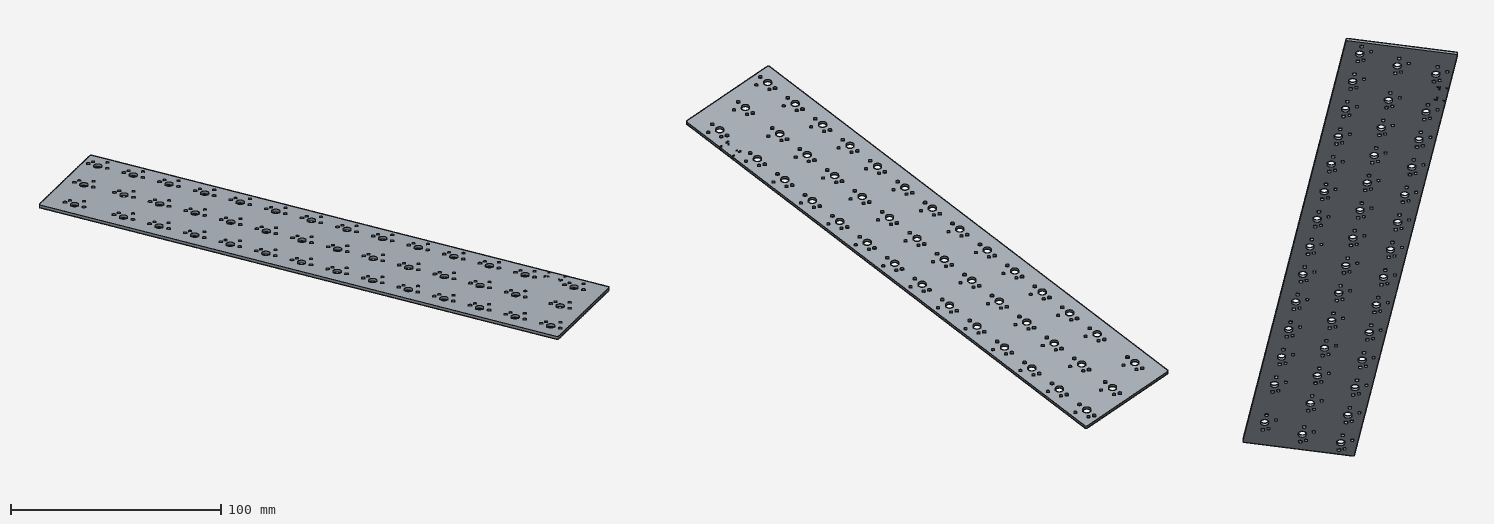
import cadquery as cq


KEY_UNIT = 19.05
EDGE_TRIM = KEY_UNIT / 12
ROW_WIDTHS = [
    [1.0] * 13 + [1.75],
    [1.25] + [1.0] * 12 + [1.5],
    [1.75] + [1.0] * 13,
]

BOARD_LENGTH = sum(ROW_WIDTHS[0]) * KEY_UNIT - 2 * EDGE_TRIM
BOARD_DEPTH = len(ROW_WIDTHS) * KEY_UNIT - 2 * EDGE_TRIM
BOARD_THICKNESS = 1.6
CORNER_RADIUS = 0.8

STEM_DIAMETER = 3.99
PEG_DIAMETER = 1.75
PIN_DIAMETER = 1.47
PIN_GRID = 1.27
PEG_OFFSETS = [(-4 * PIN_GRID, 0), (4 * PIN_GRID, 0)]
PIN_OFFSETS = [(-3 * PIN_GRID, 2 * PIN_GRID), (2 * PIN_GRID, 4 * PIN_GRID)]

SOCKET_FROM_LEFT = 250.0
SOCKET_PEG_DIAMETER = 0.65
SOCKET_PEG_SPACING = 5.78
SLOT_SPACING = 8.64
SLOT_WIDTH = 0.6
BACK_SLOT_LENGTH = 1.2
FRONT_SLOT_LENGTH = 1.7
SLOT_ROW_SPACING = 4.18
SOCKET_PEG_SETBACK = 0.53
BACK_SLOT_INSET = 0.8
FRONT_SLOT_INSET = BACK_SLOT_INSET + SLOT_ROW_SPACING
SOCKET_PEG_INSET = FRONT_SLOT_INSET - SOCKET_PEG_SETBACK

LEFT_EDGE = -BOARD_LENGTH / 2
BACK_EDGE = BOARD_DEPTH / 2


def key_centres():
    """Switch centres, row by row, every key placed against its left neighbour."""
    centres = []
    for row, widths in enumerate(ROW_WIDTHS):
        y = BACK_EDGE + EDGE_TRIM - (row + 0.5) * KEY_UNIT
        key_left = LEFT_EDGE - EDGE_TRIM
        for width in widths:
            centres.append((key_left + width * KEY_UNIT / 2, y))
            key_left += width * KEY_UNIT
    return centres


def offset_points(centres, offsets):
    """Every offset applied to every centre."""
    return [(x + dx, y + dy) for x, y in centres for dx, dy in offsets]


def drill(plate, points, diameter):
    """Drill round holes right through the plate."""
    return plate.faces(">Z").workplane(origin=(0, 0, 0)).pushPoints(points).hole(diameter)


def mirrored_pair(centre_x, spacing, inset):
    """Two points either side of centre_x, at a distance inset from the back edge."""
    y = BACK_EDGE - inset
    return [(centre_x - spacing / 2, y), (centre_x + spacing / 2, y)]


def make_board():
    board = cq.Workplane("XY").box(BOARD_LENGTH, BOARD_DEPTH, BOARD_THICKNESS, centered=(True, True, False))
    return board.edges("|Z").fillet(CORNER_RADIUS)


def drill_switches(plate, centres):
    plate = drill(plate, centres, STEM_DIAMETER)
    plate = drill(plate, offset_points(centres, PEG_OFFSETS), PEG_DIAMETER)
    return drill(plate, offset_points(centres, PIN_OFFSETS), PIN_DIAMETER)


def cut_slots(plate, points, length):
    """Slots through the plate, running front to back."""
    slots = cq.Workplane("XY").pushPoints(points).slot2D(length, SLOT_WIDTH, 90).extrude(BOARD_THICKNESS)
    return plate.cut(slots)


def cut_socket(plate, centre_x):
    plate = cut_slots(plate, mirrored_pair(centre_x, SLOT_SPACING, BACK_SLOT_INSET), BACK_SLOT_LENGTH)
    plate = cut_slots(plate, mirrored_pair(centre_x, SLOT_SPACING, FRONT_SLOT_INSET), FRONT_SLOT_LENGTH)
    pegs = mirrored_pair(centre_x, SOCKET_PEG_SPACING, SOCKET_PEG_INSET)
    return drill(plate, pegs, SOCKET_PEG_DIAMETER)


result = make_board()
result = drill_switches(result, key_centres())
result = cut_socket(result, LEFT_EDGE + SOCKET_FROM_LEFT)